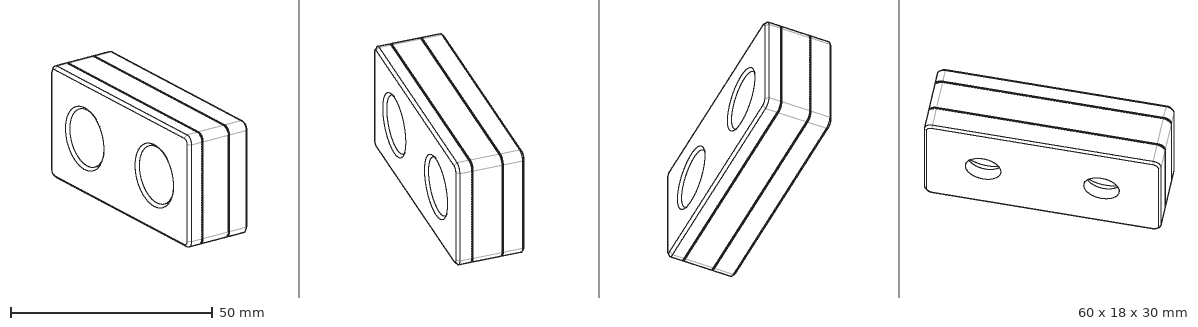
import cadquery as cq

length = 60.0
thickness = 18.0
height = 30.0
corner_radius = 2.05
front_chamfer = 0.8
back_chamfer = 0.6

groove_width = 0.3
groove_depth = 0.3
groove_starts = (4.0, 12.0)

hole_spacing = length / 2
hole_diameter = 9.0
bore_diameter = 15.0
bore_depth = 12.0
bore_chamfer = 0.8

front_y = -thickness / 2
back_y = thickness / 2


def rounded_slab(start_y, slab_thickness, inset=0.0):
    """Rounded rectangle in the XZ plane, extruded towards +Y from start_y."""
    return (
        cq.Workplane("XZ", origin=(0, start_y, 0))
        .rect(length - 2 * inset, height - 2 * inset)
        .extrude(-slab_thickness)
        .edges("|Y")
        .fillet(corner_radius - inset)
    )


def chamfered_block():
    block = rounded_slab(front_y, thickness)
    block = block.faces("<Y").edges().chamfer(front_chamfer)
    return block.faces(">Y").edges().chamfer(back_chamfer)


def groove_ring(start):
    """Ring of material to remove for a groove that starts this far behind the front."""
    start_y = front_y + start
    core = rounded_slab(start_y, groove_width, groove_depth)
    return rounded_slab(start_y, groove_width).cut(core)


def screw_hole(center_x):
    """Chamfered bore that narrows through a 45 degree cone to the through hole."""
    hole_radius = hole_diameter / 2
    bore_radius = bore_diameter / 2
    bore_end_y = front_y + bore_depth
    cone_end_y = bore_end_y + bore_radius - hole_radius
    profile = [
        (0, front_y),
        (bore_radius + bore_chamfer, front_y),
        (bore_radius, front_y + bore_chamfer),
        (bore_radius, bore_end_y),
        (hole_radius, cone_end_y),
        (hole_radius, back_y),
        (0, back_y),
    ]
    cutter = cq.Workplane("XY").polyline(profile).close().revolve(360, (0, 0, 0), (0, 1, 0))
    return cutter.translate((center_x, 0, 0))


result = chamfered_block()
for groove_start in groove_starts:
    result = result.cut(groove_ring(groove_start))
for side in (-1, 1):
    result = result.cut(screw_hole(side * hole_spacing / 2))